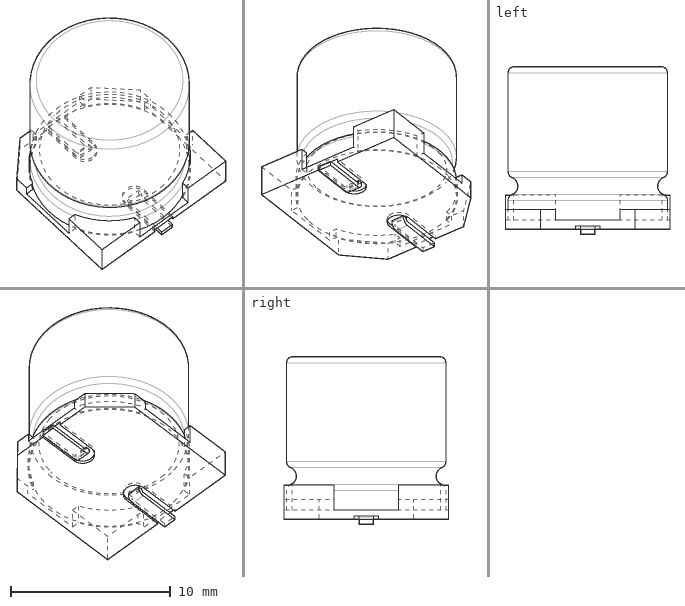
import cadquery as cq
import math

total_length = 10.9
total_height = 10.5

base_side = 10.3
base_chamfer = 2.2
floor_top = 0.9
low_post_top = 1.55
high_post_top = 2.45
gap_half_width = 2.01
socket_radius = 5.06

lead_thickness = 0.3
lead_width = 0.9
lead_inner_face = 2.2
bend_inner_radius = 0.1

slot_width = 1.5
slot_depth = 0.22

can_radius = 4.99
can_edge_radius = 0.4
groove_centre_z = 3.02
groove_half_height = 0.9
neck_radius = 4.38

base_bottom = lead_thickness
half_base = base_side / 2
half_length = total_length / 2
slot_top = base_bottom + slot_depth
lead_outer_face = lead_inner_face + lead_thickness
bend_outer_radius = bend_inner_radius + lead_thickness
bend_centre_x = lead_inner_face + bend_outer_radius
slot_end_centre = (lead_inner_face + lead_outer_face) / 2

edge_centre_r = can_radius - can_edge_radius
edge_to_neck = edge_centre_r - neck_radius
groove_radius = (groove_half_height**2 + edge_to_neck**2 - can_edge_radius**2) / (
    2 * (can_edge_radius + edge_to_neck)
)
groove_centre_r = neck_radius + groove_radius


def make_post(x_sign, y_sign, top):
    """Corner block of the base, full height, before the socket is cut."""
    size = half_base - gap_half_width
    middle = (half_base + gap_half_width) / 2
    return (
        cq.Workplane("XY", origin=(x_sign * middle, y_sign * middle, base_bottom))
        .rect(size, size)
        .extrude(top - base_bottom)
    )


def make_slot(x_sign):
    """Slot in the underside, open at the side and round at its inner end."""
    length = half_base - slot_end_centre
    channel = (
        cq.Workplane("XY", origin=(x_sign * (slot_end_centre + length / 2), 0, base_bottom))
        .rect(length, slot_width)
        .extrude(slot_depth)
    )
    round_end = (
        cq.Workplane("XY", origin=(x_sign * slot_end_centre, 0, base_bottom))
        .circle(slot_width / 2)
        .extrude(slot_depth)
    )
    return channel.union(round_end)


def make_lead():
    """Bent lead on the +X side: flat foot, bend, and upright ending at the slot ceiling."""
    diagonal = math.sqrt(0.5)
    return (
        cq.Workplane("XZ", origin=(0, lead_width / 2, 0))
        .moveTo(half_length, 0)
        .lineTo(bend_centre_x, 0)
        .threePointArc(
            (bend_centre_x - bend_outer_radius * diagonal, bend_outer_radius * (1 - diagonal)),
            (lead_inner_face, bend_outer_radius),
        )
        .lineTo(lead_inner_face, slot_top)
        .lineTo(lead_outer_face, slot_top)
        .lineTo(lead_outer_face, bend_outer_radius)
        .threePointArc(
            (
                bend_centre_x - bend_inner_radius * diagonal,
                bend_outer_radius - bend_inner_radius * diagonal,
            ),
            (bend_centre_x, lead_thickness),
        )
        .lineTo(half_length, lead_thickness)
        .close()
        .extrude(lead_width)
    )


def make_base():
    """Base plate with corner posts, round socket, lead slots and the two leads."""
    base = (
        cq.Workplane("XY", origin=(0, 0, base_bottom))
        .rect(base_side, base_side)
        .extrude(floor_top - base_bottom)
    )
    for y_sign in (-1, 1):
        base = base.union(make_post(-1, y_sign, low_post_top))
        base = base.union(make_post(1, y_sign, high_post_top))
    base = base.edges("|Z").edges("<(1,1,0) or <(1,-1,0)").chamfer(base_chamfer)

    socket = (
        cq.Workplane("XY", origin=(0, 0, floor_top))
        .circle(socket_radius)
        .extrude(high_post_top - floor_top)
    )
    base = base.cut(socket)

    for x_sign in (-1, 1):
        base = base.cut(make_slot(x_sign))
    lead = make_lead()
    return base.union(lead).union(lead.mirror("YZ"))


def make_can():
    """Round can with a rounded top rim and a rolled groove near the bottom."""
    lower_wall_end = groove_centre_z - groove_half_height
    upper_wall_start = groove_centre_z + groove_half_height

    centre_distance = can_edge_radius + groove_radius
    tangent_r = edge_centre_r + can_edge_radius * (groove_centre_r - edge_centre_r) / centre_distance
    tangent_rise = can_edge_radius * groove_half_height / centre_distance

    half_angle = math.atan2(groove_half_height, groove_centre_r - edge_centre_r) / 2
    middle_r = edge_centre_r + can_edge_radius * math.cos(half_angle)
    middle_rise = can_edge_radius * math.sin(half_angle)

    profile = (
        cq.Workplane("XZ")
        .moveTo(0, floor_top)
        .lineTo(can_radius, floor_top)
        .lineTo(can_radius, lower_wall_end)
        .threePointArc(
            (middle_r, lower_wall_end + middle_rise),
            (tangent_r, lower_wall_end + tangent_rise),
        )
        .threePointArc((neck_radius, groove_centre_z), (tangent_r, upper_wall_start - tangent_rise))
        .threePointArc((middle_r, upper_wall_start - middle_rise), (can_radius, upper_wall_start))
        .lineTo(can_radius, total_height)
        .lineTo(0, total_height)
        .close()
    )
    return profile.revolve(360, (0, 0, 0), (0, 1, 0)).faces(">Z").edges().fillet(can_edge_radius)


base = make_base()
can = make_can()

result = cq.Compound.makeCompound([base.val(), can.val()])